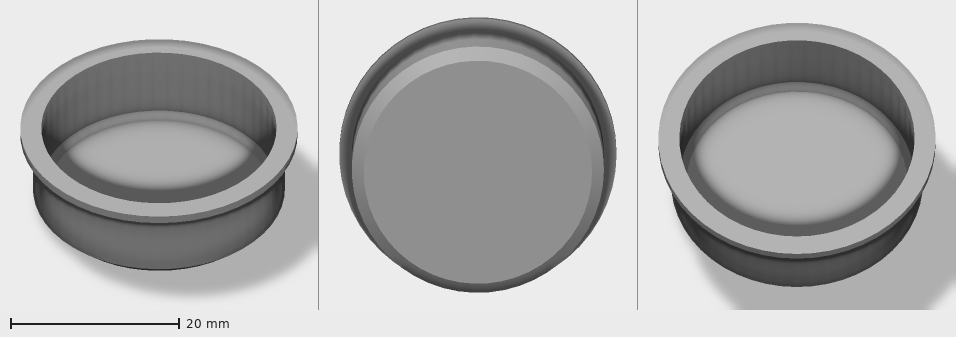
import cadquery as cq
import math

body_diameter = 30.0
flange_diameter = 33.0
flange_thickness = 1.0
total_height = 10.8
wall = 1.0
bevel_width = 2.0

body_radius = body_diameter / 2
flange_radius = flange_diameter / 2
cavity_radius = body_radius - wall
outer_bevel = bevel_width / math.sqrt(2)
inner_bevel = outer_bevel - wall * (2 - math.sqrt(2))


def make_shell():
    """Solid outer form: bevelled cylinder with a flange at the rim."""
    body = cq.Workplane("XY").circle(body_radius).extrude(total_height)
    body = body.faces("<Z").chamfer(outer_bevel)
    flange = (
        cq.Workplane("XY")
        .workplane(offset=total_height - flange_thickness)
        .circle(flange_radius)
        .extrude(flange_thickness)
    )
    return body.union(flange)


def make_cavity():
    """Open-topped cavity that follows the outer form at the wall thickness."""
    cavity = (
        cq.Workplane("XY")
        .workplane(offset=wall)
        .circle(cavity_radius)
        .extrude(total_height - wall)
    )
    return cavity.faces("<Z").chamfer(inner_bevel)


result = make_shell().cut(make_cavity())